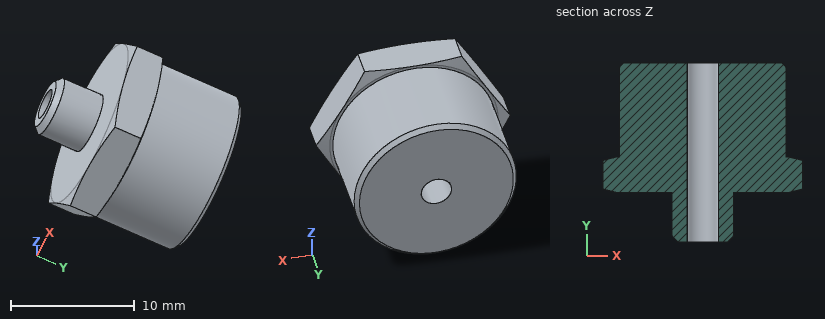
import cadquery as cq
import math

hex_corners = 16.17
hex_length = 2.91
hex_bevel_angle = 15.0
body_diameter = 13.5
body_length = 7.6
body_chamfer = 0.35
pin_diameter = 5.0
pin_length = 4.0
pin_chamfer = 0.5
bore_diameter = 2.5

hex_flats = hex_corners * math.cos(math.radians(30))
corner_radius = hex_corners / 2
flat_radius = hex_flats / 2
bevel_depth = (corner_radius - flat_radius) * math.tan(math.radians(hex_bevel_angle))
total_length = pin_length + hex_length + body_length


def cylinder_along_y(diameter, start, length):
    """Cylinder on the Y axis, reaching from start toward +Y."""
    plane = cq.Workplane("XZ", origin=(0, start, 0))
    return plane.circle(diameter / 2).extrude(-length)


def make_hexagon():
    """Hexagon with corners on X, its corners bevelled on both faces by a cone."""
    prism = cq.Workplane("XZ").polygon(6, hex_corners).extrude(-hex_length)
    bevel_envelope = (
        cq.Workplane("XY")
        .moveTo(0, 0)
        .lineTo(flat_radius, 0)
        .lineTo(corner_radius, bevel_depth)
        .lineTo(corner_radius, hex_length - bevel_depth)
        .lineTo(flat_radius, hex_length)
        .lineTo(0, hex_length)
        .close()
        .revolve(360, (0, 0, 0), (0, 1, 0))
    )
    return prism.intersect(bevel_envelope)


body = cylinder_along_y(body_diameter, hex_length, body_length).faces(">Y").chamfer(body_chamfer)
pin = cylinder_along_y(pin_diameter, -pin_length, pin_length).faces("<Y").chamfer(pin_chamfer)

bore = cylinder_along_y(bore_diameter, -pin_length, total_length)

result = make_hexagon().union(body).union(pin).cut(bore)